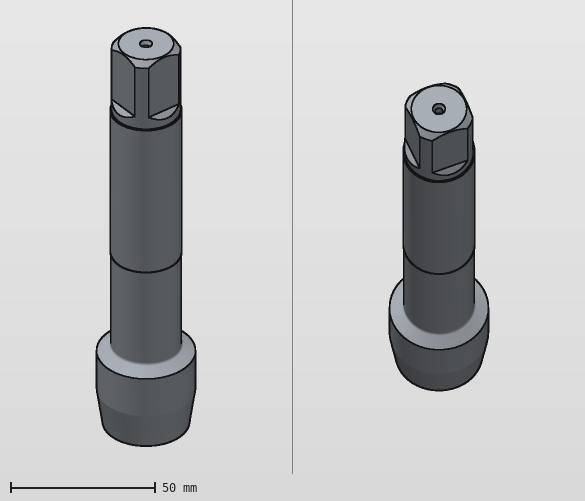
import cadquery as cq
import math

total_height = 160.0
joint_height = 71.5

head_radius = 34.4 / 2
tip_radius = 30.4 / 2
taper_height = 14.0
head_height = 30.0
cone_slope = math.radians(30)
neck_radius = 24.6 / 2
neck_fillet = 1.1

shank_radius = 25.0 / 2
shank_top = 132.2
shank_chamfer = 0.3
drive_radius = 24.0 / 2
square_side = 20.0
flat_bottom = 137.1
flat_runout_slope = math.radians(45)
drive_chamfer_height = 2.0
drive_face_radius = 9.6

hole_radius = 2.5 / 2
hole_depth = 4.8
countersink_radius = 4.3 / 2
countersink_half_angle = math.radians(30)
drill_point_half_angle = math.radians(60)



def make_cutting_body():
    """Tapered cutting head with a conical shoulder filleted into the neck."""
    turn = math.pi / 2 - cone_slope
    fillet_centre_radius = neck_radius + neck_fillet
    cone_top_radius = fillet_centre_radius - neck_fillet * math.cos(turn)
    cone_top = head_height + (head_radius - cone_top_radius) * math.tan(cone_slope)
    fillet_top = cone_top + neck_fillet * math.sin(turn)
    fillet_middle = (
        fillet_centre_radius - neck_fillet * math.cos(turn / 2),
        fillet_top - neck_fillet * math.sin(turn / 2),
    )
    return (
        cq.Workplane("XZ")
        .lineTo(tip_radius, 0)
        .lineTo(head_radius, taper_height)
        .lineTo(head_radius, head_height)
        .lineTo(cone_top_radius, cone_top)
        .threePointArc(fillet_middle, (neck_radius, fillet_top))
        .lineTo(neck_radius, joint_height)
        .lineTo(0, joint_height)
        .close()
        .revolve(360, (0, 0, 0), (0, 1, 0))
    )


def make_shank_blank():
    """Round shank stepping down to the drive end, with chamfered ends."""
    return (
        cq.Workplane("XZ")
        .moveTo(0, joint_height)
        .lineTo(shank_radius - shank_chamfer, joint_height)
        .lineTo(shank_radius, joint_height + shank_chamfer)
        .lineTo(shank_radius, shank_top - shank_chamfer)
        .lineTo(shank_radius - shank_chamfer, shank_top)
        .lineTo(drive_radius, shank_top)
        .lineTo(drive_radius, total_height - drive_chamfer_height)
        .lineTo(drive_face_radius, total_height)
        .lineTo(0, total_height)
        .close()
        .revolve(360, (0, 0, 0), (0, 1, 0))
    )


def make_flat_cutter():
    """Cutter for the +X flat, ending in a sloping run-out at the bottom."""
    half_side = square_side / 2
    outer = shank_radius
    runout_bottom = flat_bottom - (outer - half_side) * math.tan(flat_runout_slope)
    return (
        cq.Workplane("XZ")
        .moveTo(half_side, flat_bottom)
        .lineTo(outer, runout_bottom)
        .lineTo(outer, total_height)
        .lineTo(half_side, total_height)
        .close()
        .extrude(shank_radius, both=True)
    )


def make_centre_hole():
    """Cutter for the countersunk centre hole with its conical drill point."""
    countersink_depth = (countersink_radius - hole_radius) / math.tan(countersink_half_angle)
    wall_bottom = total_height - hole_depth
    point_bottom = wall_bottom - hole_radius / math.tan(drill_point_half_angle)
    return (
        cq.Workplane("XZ")
        .moveTo(0, total_height)
        .lineTo(countersink_radius, total_height)
        .lineTo(hole_radius, total_height - countersink_depth)
        .lineTo(hole_radius, wall_bottom)
        .lineTo(0, point_bottom)
        .close()
        .revolve(360, (0, 0, 0), (0, 1, 0))
    )


def make_shank():
    """Shank with four drive flats and a countersunk centre hole."""
    body = make_shank_blank()
    flat_count = 4
    for index in range(flat_count):
        angle = index * 360 / flat_count
        body = body.cut(make_flat_cutter().rotate((0, 0, 0), (0, 0, 1), angle))
    return body.cut(make_centre_hole())


cutting_body = make_cutting_body()
shank = make_shank()

result = cq.Compound.makeCompound([cutting_body.val(), shank.val()])